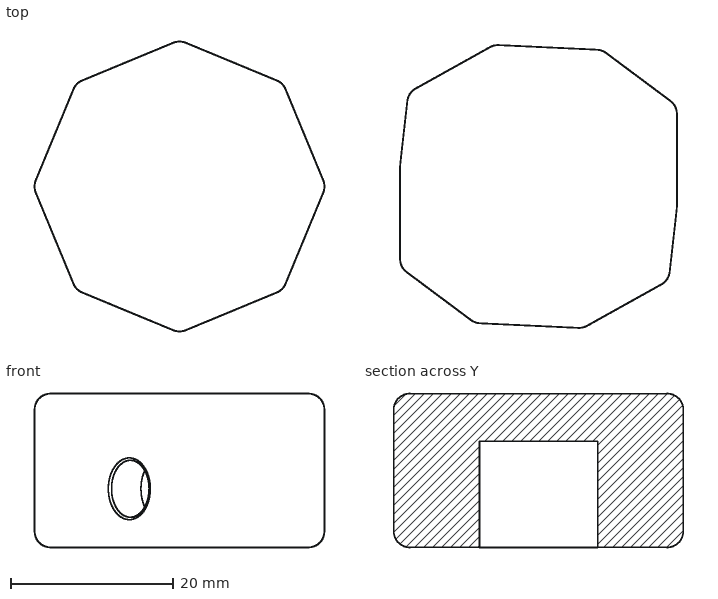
import cadquery as cq
import math

SIDES = 8
WIDTH = 35.75
HEIGHT = 19.0
EDGE_RADIUS = 2.0

SOCKET_DIAMETER = 14.5
SOCKET_TOP = 3.58

HOLE_WIDTH = 5.0
HOLE_HEIGHT = 7.0
HOLE_Z = -2.25
HOLE_OFFSET = 0.2
HOLE_CHAMFER = 0.3
HOLE_ANGLE = 247.5

HALF_SIDE_ANGLE = math.pi / SIDES
BOTTOM = -HEIGHT / 2
CORNER_LOSS = EDGE_RADIUS * (1 / math.cos(HALF_SIDE_ANGLE) - 1)
SHARP_CORNER_RADIUS = WIDTH / 2 + CORNER_LOSS
BODY_APOTHEM = SHARP_CORNER_RADIUS * math.cos(HALF_SIDE_ANGLE)


def body():
    sharp_body = (
        cq.Workplane("XY", origin=(0, 0, BOTTOM))
        .polygon(SIDES, 2 * SHARP_CORNER_RADIUS)
        .extrude(HEIGHT)
    )
    return sharp_body.edges().fillet(EDGE_RADIUS)


def socket():
    return (
        cq.Workplane("XY", origin=(0, 0, BOTTOM))
        .circle(SOCKET_DIAMETER / 2)
        .extrude(SOCKET_TOP - BOTTOM)
    )


def hole_plane(distance):
    """Plane facing out along the hole, set out by a distance from the knob axis."""
    angle = math.radians(HOLE_ANGLE)
    outward = cq.Vector(math.cos(angle), math.sin(angle), 0)
    sideways = cq.Vector(-math.sin(angle), math.cos(angle), 0)
    origin = cq.Vector(0, 0, HOLE_Z) + sideways * HOLE_OFFSET + outward * distance
    return cq.Plane(origin, sideways, outward)


def side_hole():
    """Horizontal bore from inside the socket, with a chamfered mouth."""
    half_width = HOLE_WIDTH / 2
    half_height = HOLE_HEIGHT / 2
    bore = cq.Workplane(hole_plane(0)).ellipse(half_width, half_height).extrude(BODY_APOTHEM)
    mouth = (
        cq.Workplane(hole_plane(BODY_APOTHEM - HOLE_CHAMFER))
        .ellipse(half_width, half_height)
        .workplane(offset=HOLE_CHAMFER)
        .ellipse(half_width + HOLE_CHAMFER, half_height + HOLE_CHAMFER)
        .loft(ruled=True)
    )
    return bore.union(mouth)


result = body().cut(socket()).cut(side_hole())